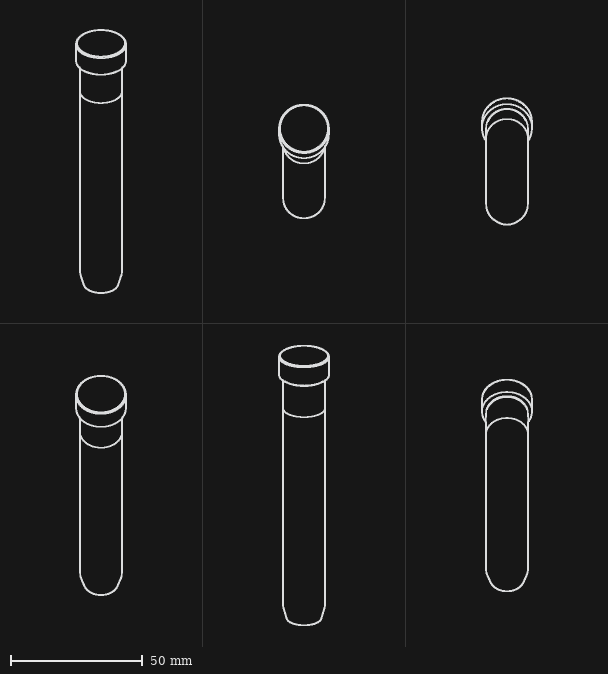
import cadquery as cq

total_length = 110.0
head_diameter = 19.0
head_height = 8.0
head_chamfer = 0.4
shank_diameter = 16.0
collar_length = 14.0
neck_diameter = 15.1
neck_height = 0.5
tip_diameter = 13.2
tip_round = 0.5
taper_length = 5.2

head_radius = head_diameter / 2
shank_radius = shank_diameter / 2
neck_radius = neck_diameter / 2
tip_radius = tip_diameter / 2
head_bottom = total_length - head_height
neck_bottom = head_bottom - neck_height
shoulder_bottom = neck_bottom - (shank_radius - neck_radius)
joint_height = head_bottom - collar_length


def make_headed_collar():
    """Chamfered head, relief neck and the upper stretch of the shank."""
    return (
        cq.Workplane("XZ")
        .moveTo(0, joint_height)
        .lineTo(shank_radius, joint_height)
        .lineTo(shank_radius, shoulder_bottom)
        .lineTo(neck_radius, neck_bottom)
        .lineTo(neck_radius, head_bottom)
        .lineTo(head_radius, head_bottom)
        .lineTo(head_radius, total_length - head_chamfer)
        .lineTo(head_radius - head_chamfer, total_length)
        .lineTo(0, total_length)
        .close()
        .revolve(360, (0, 0), (0, 1))
    )


def make_guide_shank():
    """Plain lower shank with a tapered lead-in and a rounded tip edge."""
    shank = (
        cq.Workplane("XZ")
        .lineTo(tip_radius, 0)
        .lineTo(shank_radius, taper_length)
        .lineTo(shank_radius, joint_height)
        .lineTo(0, joint_height)
        .close()
        .revolve(360, (0, 0), (0, 1))
    )
    return shank.faces("<Z").edges().fillet(tip_round)


headed_collar = make_headed_collar()
guide_shank = make_guide_shank()

result = cq.Compound.makeCompound([headed_collar.val(), guide_shank.val()])